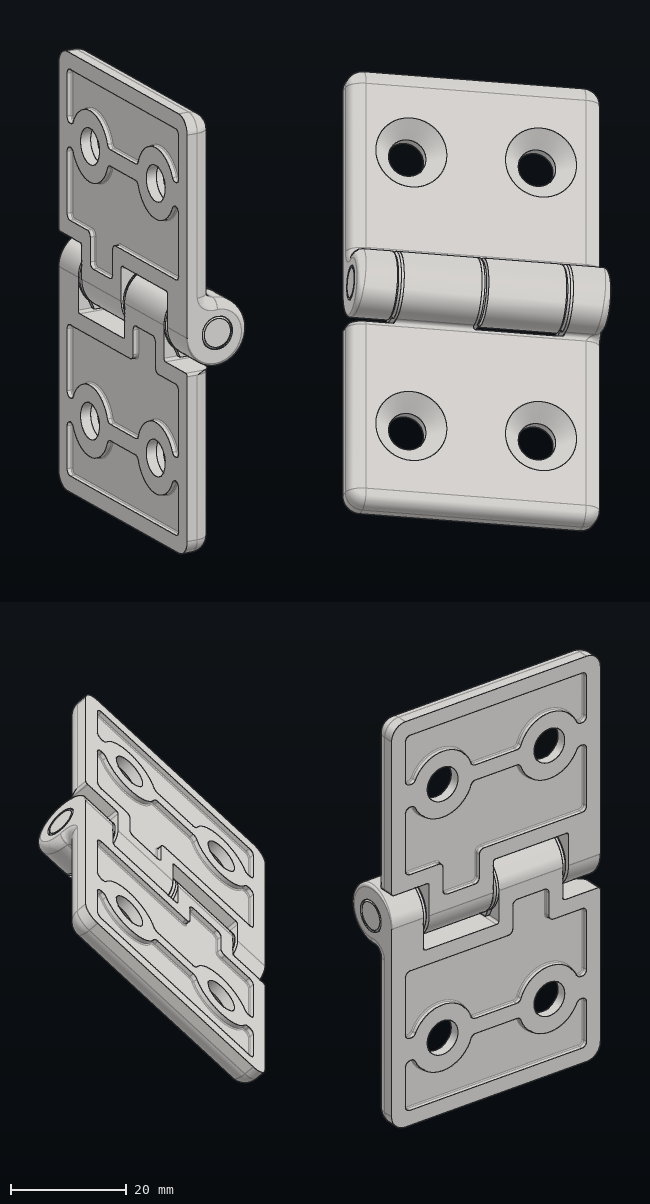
import cadquery as cq
import math

width = 45.0
half_width = width / 2
leaf_reach = 40.0
knuckle_radius = 6.0
plate_thickness = 5.0
plate_corner_radius = 3.0
back_edge_radius = 3.0
front_y = -knuckle_radius
back_y = front_y + plate_thickness

neck_radius = -back_y
neck_z = -knuckle_radius - neck_radius
end_radius_at_neck = 1.75
end_radius_at_front = 0.05

gap_width = 1.2
half_gap = gap_width / 2
gap_spacing = 15.0
slot_clearance = 0.5
slot_z = -knuckle_radius - slot_clearance
slot_corner_radius = slot_clearance
slot_mouth_radius = 0.5

pin_radius = 3.0
pin_chamfer = 0.4
washer_clearance = 0.3
washer_thickness = gap_width - washer_clearance
washer_chamfer = 0.4
foot_corner_y = -4.0
foot_toe_y = -3.3

hole_diameter = 6.6
hole_x = 11.5
hole_z = -25.0
hole_points = [(-hole_x, hole_z), (hole_x, hole_z)]
countersink_diameter = 12.6
countersink_angle = 90.0

pocket_depth = 1.0
pocket_margin = 3.0
pocket_corner_radius = 1.0
pocket_floor_radius = 0.2
boss_radius = 6.5
middle_web_width = 3.0
side_web_width = 4.4


def block(x_range, y_range, z_range):
    """Box between the given limits."""
    size = [high - low for low, high in (x_range, y_range, z_range)]
    box = cq.Workplane("XY").box(*size, centered=False)
    return box.translate((x_range[0], y_range[0], z_range[0]))


def round_edge(body, edge, start_radius, end_radius):
    """Round one edge with a radius that changes evenly along it."""
    fillet = cq.occ_impl.shapes.BRepFilletAPI_MakeFillet(body.val().wrapped)
    fillet.Add(start_radius, end_radius, edge.wrapped)
    return cq.Workplane(cq.Shape.cast(fillet.Shape()).Solids()[0])


def on_arc(centre_y, centre_z, radius, angle):
    """Point (y, z) of an arc, its angle in degrees from +Y towards +Z."""
    turn = math.radians(angle)
    return centre_y + radius * math.cos(turn), centre_z + radius * math.sin(turn)


def knuckle_half():
    """Three quarters of a cylinder, rounded on its outer end."""
    body = (
        cq.Workplane("YZ", origin=(-half_width, 0, 0))
        .lineTo(front_y, 0)
        .threePointArc(on_arc(0, 0, knuckle_radius, 45), (0, -knuckle_radius))
        .close()
        .extrude(half_width)
    )
    rim = body.faces("<X").edges("%CIRCLE").val()
    return round_edge(body, rim, end_radius_at_front, end_radius_at_neck)


def neck_half():
    """Piece between knuckle and plate, its back hollowed by the neck arc."""
    body = (
        cq.Workplane("YZ", origin=(-half_width, 0, 0))
        .lineTo(0, -knuckle_radius)
        .threePointArc(on_arc(0, neck_z, neck_radius, 135), (back_y, neck_z))
        .lineTo(front_y, neck_z)
        .lineTo(front_y, 0)
        .close()
        .extrude(half_width)
    )
    rim = body.faces("<X").edges("%CIRCLE").val()
    return round_edge(body, rim, end_radius_at_neck, back_edge_radius)


def plate():
    """Flat plate with its far corners and its back outline rounded."""
    body = block((-half_width, half_width), (front_y, back_y), (-leaf_reach, neck_z))
    body = body.edges("|Y and <Z").fillet(plate_corner_radius)
    return body.faces(">Y").edges("not >Z").fillet(back_edge_radius)


def slot(x_range):
    """Room for a knuckle of the other leaf and the washers beside it."""
    body = block(x_range, (front_y, knuckle_radius), (slot_z, knuckle_radius))
    return body.edges("|Y and <Z").fillet(slot_corner_radius)


def slot_mouth():
    """Cutter that rounds the corner where the end slot leaves the side of the plate."""
    x, z = half_width - slot_mouth_radius, slot_z - slot_mouth_radius
    corner = block((x, half_width), (front_y, knuckle_radius), (z, slot_z))
    round_part = cq.Workplane("XZ", origin=(x, front_y, z)).circle(slot_mouth_radius)
    return corner.cut(round_part.extrude(-2 * knuckle_radius))


def on_front(points):
    """Workplane on the front face with the given (x, z) points on its stack."""
    return cq.Workplane("XZ", origin=(0, front_y, 0)).pushPoints(points)


def pockets():
    """Two front pockets, one each side of the row of bosses."""
    depth = (front_y, front_y + pocket_depth)
    side = half_width - pocket_margin
    top = slot_z - pocket_margin
    tab = (half_gap + pocket_margin, gap_spacing - half_gap - pocket_margin)
    body = block((-side, side), depth, (-leaf_reach + pocket_margin, top))
    body = body.union(block(tab, depth, (top, -pocket_margin)))
    middle = (hole_z - middle_web_width / 2, hole_z + middle_web_width / 2)
    body = body.cut(block((-hole_x, hole_x), depth, middle))
    side_web = (hole_z - side_web_width / 2, hole_z + side_web_width / 2)
    body = body.cut(block((-half_width, -hole_x), depth, side_web))
    body = body.cut(block((hole_x, half_width), depth, side_web))
    bosses = on_front(hole_points).circle(boss_radius).extrude(-pocket_depth)
    body = body.cut(bosses).edges("|Y").fillet(pocket_corner_radius)
    return body.faces(">Y").edges().fillet(pocket_floor_radius)


def screw_holes():
    """Screw holes as one cutter."""
    hole_radius = hole_diameter / 2
    sink_radius = countersink_diameter / 2
    holes = on_front(hole_points).circle(hole_radius).extrude(-plate_thickness)
    sink_depth = (sink_radius - hole_radius) / math.tan(math.radians(countersink_angle / 2))
    for x, z in hole_points:
        centre = cq.Vector(x, back_y, z)
        cone = cq.Solid.makeCone(sink_radius, hole_radius, sink_depth, centre, cq.Vector(0, -1, 0))
        holes = holes.union(cq.Workplane(cone))
    return holes


def pin_bore():
    """Plain cylinder of the pin's size along the whole hinge."""
    return cq.Workplane("YZ", origin=(-half_width, 0, 0)).circle(pin_radius).extrude(width)


def leaf():
    """Leaf that reaches down, with knuckles in the first and third places."""
    end = knuckle_half().union(neck_half())
    body = plate().union(end).union(end.mirror("YZ"))
    body = body.cut(slot((-gap_spacing - half_gap, half_gap)))
    body = body.cut(slot((gap_spacing - half_gap, width)))
    return body.cut(slot_mouth()).cut(pockets()).cut(screw_holes()).cut(pin_bore())


def pin():
    """Full-width pin with chamfered ends."""
    return pin_bore().faces("<X or >X").chamfer(pin_chamfer)


def washer():
    """Washer facing +X: its far rim is chamfered and a foot stands in the bottom front."""
    disc = cq.Workplane("YZ").circle(knuckle_radius).extrude(washer_thickness)
    disc = disc.faces(">X").edges().chamfer(washer_chamfer)
    foot_top_z = -math.sqrt(knuckle_radius**2 - foot_corner_y**2)
    foot = (
        cq.Workplane("YZ")
        .moveTo(foot_corner_y, foot_top_z)
        .lineTo(foot_toe_y, -knuckle_radius)
        .lineTo(0, -knuckle_radius)
        .lineTo(0, foot_top_z)
        .close()
        .extrude(washer_thickness)
    )
    return disc.union(foot).cut(pin_bore())


lower_leaf = leaf()
upper_leaf = lower_leaf.rotate((0, 0, 0), (0, 1, 0), 180)
hinge_pin = pin()

washers = []
for knuckle_side in (-gap_spacing - half_gap, gap_spacing - half_gap):
    washers.append(washer().translate((knuckle_side, 0, 0)))
washers.append(washer().mirror("YZ").translate((half_gap, 0, 0)))

result = cq.Compound.makeCompound(
    [lower_leaf.val(), upper_leaf.val(), hinge_pin.val(), *[part.val() for part in washers]]
)